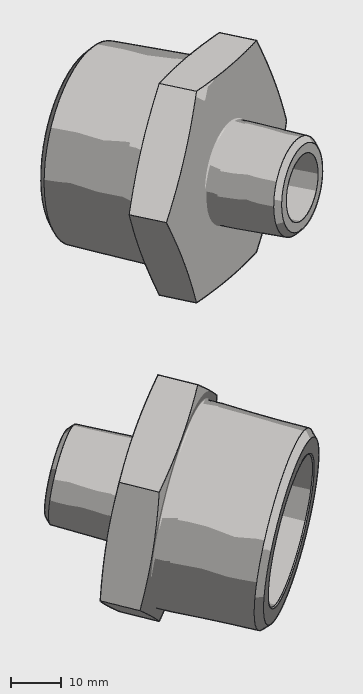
import cadquery as cq
import math


total_length = 48.0
large_taper_end = 19.1
hex_start = 22.5
hex_width = 9.5
hex_end = hex_start + hex_width
small_taper_start = 34.75

across_corners = 53.1
hex_chamfer_radius = 22.85
hex_chamfer_angle = 10.0
corner_clearance = 0.55

large_radius = 21.15
small_radius = 10.6
taper_slope = 1 / 32
large_chamfer = 1.5
small_chamfer = 1.15
root_fillet = 0.3

large_bore_radius = 15.5
small_bore_radius = 7.0
entry_chamfer = 0.25
bore_depth = 20.55
bore_cone_length = 9.55


def revolve_about_x(outline):
    """Turn a closed (x, radius) outline a full revolution about the X axis."""
    return outline.close().revolve(360, (0, 0, 0), (1, 0, 0))


def make_threaded_ends():
    large_tip_x = large_chamfer
    large_tip_radius = large_radius - (large_taper_end - large_tip_x) * taper_slope
    small_tip_x = total_length - small_chamfer
    small_tip_radius = small_radius - (small_tip_x - small_taper_start) * taper_slope
    fillet_sag = root_fillet * (1 - math.sqrt(0.5))
    outline = (
        cq.Workplane("XZ")
        .moveTo(0, 0)
        .lineTo(0, large_tip_radius - large_chamfer)
        .lineTo(large_tip_x, large_tip_radius)
        .lineTo(large_taper_end, large_radius)
        .lineTo(hex_start - root_fillet, large_radius)
        .threePointArc(
            (hex_start - fillet_sag, large_radius + fillet_sag),
            (hex_start, large_radius + root_fillet),
        )
        .lineTo(hex_end, large_radius + root_fillet)
        .lineTo(hex_end, small_radius + root_fillet)
        .threePointArc(
            (hex_end + fillet_sag, small_radius + fillet_sag),
            (hex_end + root_fillet, small_radius),
        )
        .lineTo(small_taper_start, small_radius)
        .lineTo(small_tip_x, small_tip_radius)
        .lineTo(total_length, small_tip_radius - small_chamfer)
        .lineTo(total_length, 0)
    )
    return revolve_about_x(outline)


def make_hexagon():
    prism = (
        cq.Workplane("YZ", origin=(hex_start, 0, 0))
        .polygon(6, across_corners)
        .extrude(hex_width)
    )
    cone_radius = across_corners / 2 + corner_clearance
    cone_depth = (cone_radius - hex_chamfer_radius) * math.tan(math.radians(hex_chamfer_angle))
    chamfer_envelope = revolve_about_x(
        cq.Workplane("XZ")
        .moveTo(hex_start, 0)
        .lineTo(hex_start, hex_chamfer_radius)
        .lineTo(hex_start + cone_depth, cone_radius)
        .lineTo(hex_end - cone_depth, cone_radius)
        .lineTo(hex_end, hex_chamfer_radius)
        .lineTo(hex_end, 0)
    )
    return prism.intersect(chamfer_envelope)


def make_bore():
    return revolve_about_x(
        cq.Workplane("XZ")
        .moveTo(0, 0)
        .lineTo(0, large_bore_radius + entry_chamfer)
        .lineTo(entry_chamfer, large_bore_radius)
        .lineTo(bore_depth, large_bore_radius)
        .lineTo(bore_depth + bore_cone_length, small_bore_radius)
        .lineTo(total_length, small_bore_radius)
        .lineTo(total_length, 0)
    )


result = make_threaded_ends().union(make_hexagon()).cut(make_bore())